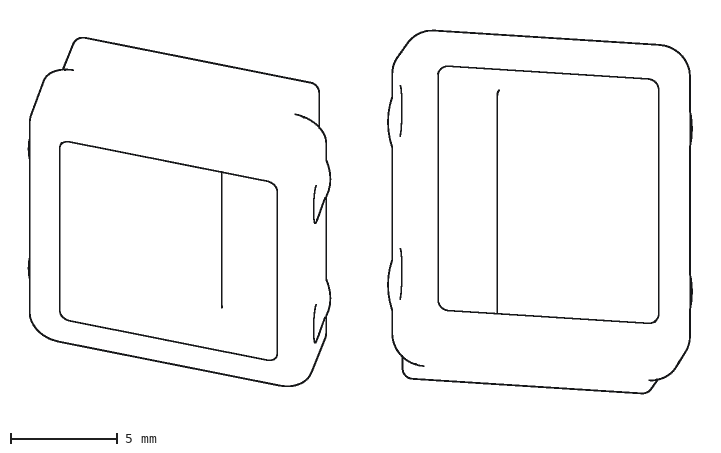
import cadquery as cq

height = 15.8
depth = 5.3
plate_width = 13.8
plate_depth = 2.8
body_width = 12.01
corner_radius = 1.5
edge_fillet = 0.5

draft_angle = 0.5

overall_width = 14.2
bump_height = 2.5
bump_spacing = 8.03
bump_length = 2.3
bump_fillet = 0.6

pocket_width = 10.55
pocket_height = 12.04
pocket_depth = 1.9
channel_width = 3.95
channel_depth = 3.84


def tapered_block(width, block_height, start, end):
    """Box centred on X and Z that narrows by the draft angle from Y = start to Y = end."""
    length = end - start
    return (
        cq.Workplane("XZ", origin=(0, start, 0))
        .rect(width, block_height)
        .extrude(-length, taper=draft_angle)
    )


def make_plate():
    plate = tapered_block(plate_width, height, plate_depth, 0)
    return plate.edges("not(<Y or >Y)").fillet(corner_radius).faces("<Y").edges().fillet(edge_fillet)


def make_body():
    body = tapered_block(body_width, height, plate_depth, depth)
    return body.edges("not(<Y)").fillet(edge_fillet)


def make_bump(side, z):
    """Shallow slice of a round-ended cylinder running forward from the plate's back face."""
    protrusion = (overall_width - plate_width) / 2
    radius = ((bump_height / 2) ** 2 + protrusion**2) / (2 * protrusion)
    axis_x = side * (overall_width / 2 - radius)
    cylinder = (
        cq.Workplane("XZ", origin=(axis_x, plate_depth, z))
        .circle(radius)
        .extrude(bump_length, taper=draft_angle)
        .faces("<Y")
        .edges()
        .fillet(bump_fillet)
    )
    slice_depth = 2 * protrusion
    slice_x = side * (overall_width - slice_depth) / 2
    keep = (
        cq.Workplane("XZ", origin=(slice_x, plate_depth, z))
        .rect(slice_depth, bump_height)
        .extrude(plate_depth)
    )
    return cylinder.intersect(keep)


def make_pocket():
    """Wide shallow pocket with a deeper central channel."""
    pocket = tapered_block(pocket_width, pocket_height, 0, pocket_depth)
    pocket = pocket.union(tapered_block(channel_width, pocket_height, 0, channel_depth))
    tolerance = 0.02
    mouth = cq.selectors.BoxSelector(
        (-channel_width, pocket_depth - tolerance, -tolerance),
        (channel_width, pocket_depth + tolerance, tolerance),
    )
    pocket = pocket.edges(mouth).fillet(edge_fillet)
    return pocket.edges("not(<Y)").fillet(edge_fillet)


result = make_plate().union(make_body())
for side in (-1, 1):
    for z in (-bump_spacing / 2, bump_spacing / 2):
        result = result.union(make_bump(side, z))
result = result.cut(make_pocket())